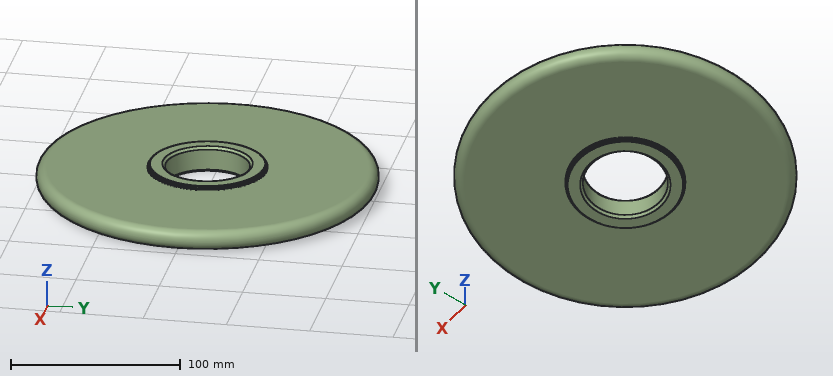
import cadquery as cq

disc_diameter = 202.0
disc_thickness = 12.1
rim_land_height = 0.5
rim_radius = (disc_thickness - rim_land_height) / 2

core_diameter = 71.0
collar_diameter = 69.0
hub_length = 16.0
core_height = 11.0
shoulder_chamfer = (core_diameter - collar_diameter) / 2
collar_chamfer = 0.6
bore_diameter = 50.0
bore_chamfer = 1.6


def make_disc():
    """Flat disc with rounded rim edges and a through hole for the hub core."""
    disc = cq.Workplane("XY").circle(disc_diameter / 2).extrude(disc_thickness / 2, both=True)
    disc = disc.faces("<Z or >Z").edges().fillet(rim_radius)
    seat = cq.Workplane("XY").circle(core_diameter / 2).extrude(disc_thickness / 2, both=True)
    return disc.cut(seat)


def make_hub():
    """Sleeve revolved from its half section, with 45 degree shoulders rising past the disc faces."""
    core_radius = core_diameter / 2
    collar_radius = collar_diameter / 2
    bore_radius = bore_diameter / 2
    half_length = hub_length / 2
    core_half_height = core_height / 2
    shoulder_top = core_half_height + shoulder_chamfer
    outer_chamfer_start = half_length - collar_chamfer
    bore_chamfer_start = half_length - bore_chamfer
    half_section = (
        cq.Workplane("XZ")
        .moveTo(core_radius, -core_half_height)
        .lineTo(core_radius, core_half_height)
        .lineTo(collar_radius, shoulder_top)
        .lineTo(collar_radius, outer_chamfer_start)
        .lineTo(collar_radius - collar_chamfer, half_length)
        .lineTo(bore_radius + bore_chamfer, half_length)
        .lineTo(bore_radius, bore_chamfer_start)
        .lineTo(bore_radius, -bore_chamfer_start)
        .lineTo(bore_radius + bore_chamfer, -half_length)
        .lineTo(collar_radius - collar_chamfer, -half_length)
        .lineTo(collar_radius, -outer_chamfer_start)
        .lineTo(collar_radius, -shoulder_top)
        .close()
    )
    return half_section.revolve(360, (0, 0, 0), (0, 1, 0))


disc = make_disc()
hub = make_hub()
result = cq.Compound.makeCompound([disc.solids().val(), hub.val()])